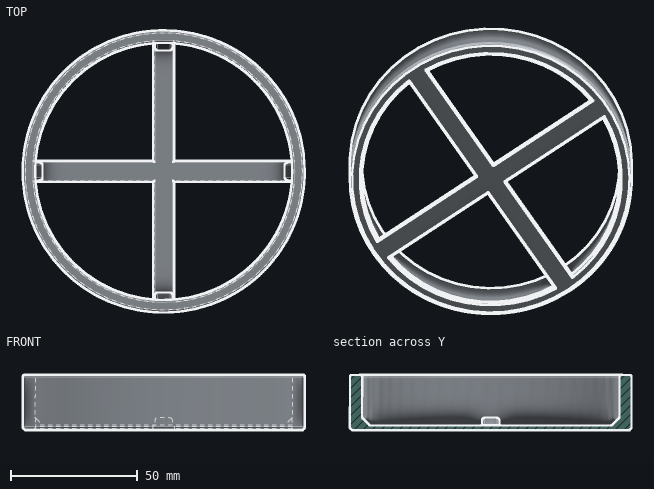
import cadquery as cq
outer_diameter = 111.5
wall = 5.0
height = 22.0
rim_round = 1.0
bottom_chamfer = 1.0

spoke_width = 8.5
spoke_thickness = 2.0
spoke_round = 0.75
spoke_chamfer = 0.4

gusset_length = 3.0
gusset_height = 3.0
gusset_round = 1.0

inner_radius = outer_diameter / 2 - wall
mid_radius = inner_radius + wall / 2
gusset_width = spoke_width - 2 * spoke_round


def make_ring():
    """Ring with rounded top rims and chamfered bottom rims, each chamfer blended into the wall."""
    ring = cq.Workplane("XY").circle(outer_diameter / 2).circle(inner_radius).extrude(height)
    ring = ring.faces("<Z").edges().chamfer(bottom_chamfer)
    rims_above_base = cq.selectors.BoxSelector(
        (-outer_diameter, -outer_diameter, bottom_chamfer / 2),
        (outer_diameter, outer_diameter, height + rim_round),
        boundingbox=True,
    )
    return ring.edges("%CIRCLE").edges(rims_above_base).fillet(rim_round)


def make_cross():
    """Two crossing spokes, rounded along the upper edges and chamfered below, ending inside the wall."""
    span = 2 * mid_radius
    cross = (
        cq.Workplane("XY")
        .rect(span, spoke_width)
        .extrude(spoke_thickness)
        .union(cq.Workplane("XY").rect(spoke_width, span).extrude(spoke_thickness))
    )
    cross = cross.faces("<Z").edges().chamfer(spoke_chamfer)
    return cross.faces(">Z").edges().fillet(spoke_round)


def make_gusset():
    """Triangular wedge on the +X spoke, its slope rounded along both sides."""
    toe = inner_radius - gusset_length
    slope = gusset_height / gusset_length
    rise = slope * (mid_radius - toe)
    wedge = (
        cq.Workplane("XZ")
        .moveTo(toe, spoke_thickness)
        .lineTo(mid_radius, spoke_thickness)
        .lineTo(mid_radius, spoke_thickness + rise)
        .close()
        .extrude(gusset_width / 2, both=True)
    )
    slope_direction = cq.Vector(gusset_length, 0, gusset_height)
    return wedge.edges(cq.selectors.ParallelDirSelector(slope_direction)).fillet(gusset_round)


result = make_ring().union(make_cross())
for quarter in range(4):
    gusset = make_gusset().rotate((0, 0, 0), (0, 0, 1), 90 * quarter)
    result = result.union(gusset)